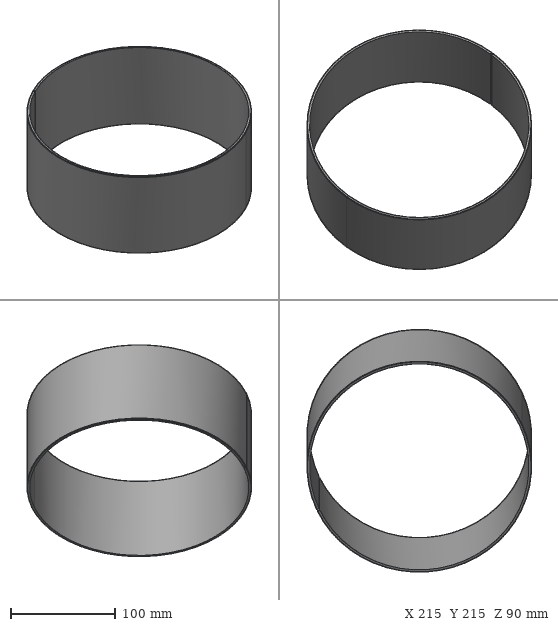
import cadquery as cq

outer_diameter = 215.0
wall_thickness = 2.5
height = 90.0
split_width = 1.7
rim_chamfer = 0.54

outer_radius = outer_diameter / 2
inner_radius = outer_radius - wall_thickness


def make_sleeve():
    """Thin sleeve on the Z axis with its outer rim edges chamfered."""
    body = cq.Workplane("XY").circle(outer_radius).extrude(height)
    body = body.faces("<Z or >Z").edges().chamfer(rim_chamfer)
    bore = cq.Workplane("XY").circle(inner_radius).extrude(height)
    return body.cut(bore)


def make_split():
    """Narrow full-height slot through the -X wall, with one side on the plane Y = 0."""
    return (
        cq.Workplane("XY")
        .center(-outer_radius, split_width / 2)
        .rect(4 * wall_thickness, split_width)
        .extrude(height)
    )


result = make_sleeve().cut(make_split())